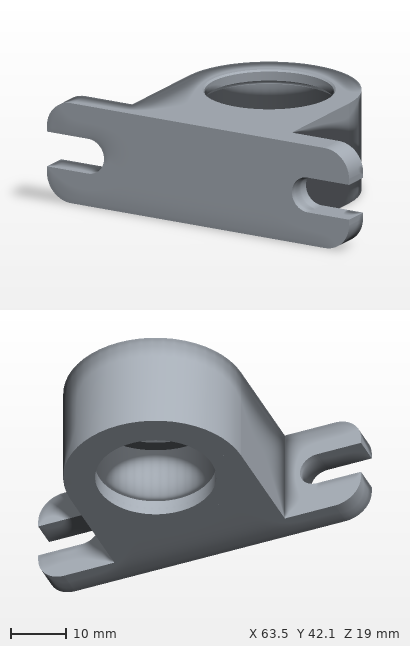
import cadquery as cq

foot_length = 63.5
foot_thickness = 5.0
height = 19.0
foot_corner_radius = 5.1
slot_width = 6.6
slot_depth = 12.0

depth = 42.15
lug_radius = 16.75
lug_center_y = depth - lug_radius

mouth_radius = 11.75
mouth_length = 2.05
mouth_chamfer = 0.3
seat_radius = 14.0

liner_wall_radius = 12.8
liner_floor_radius = 11.0
liner_floor_thickness = 3.0
liner_height = 16.0


def make_foot():
    """Plate with rounded corners and a round-ended slot open at each end."""
    plate = (
        cq.Workplane("XY")
        .box(foot_length, foot_thickness, height, centered=(True, False, False))
        .edges("|Y")
        .fillet(foot_corner_radius)
    )
    for side in (-1, 1):
        slot = (
            cq.Workplane("XZ", origin=(side * foot_length / 2, 0, height / 2))
            .slot2D(2 * slot_depth, slot_width)
            .extrude(-foot_thickness)
        )
        plate = plate.cut(slot)
    return plate


def make_lug():
    """Upright block with a half-round back."""
    return (
        cq.Workplane("XY")
        .moveTo(-lug_radius, 0)
        .lineTo(lug_radius, 0)
        .lineTo(lug_radius, lug_center_y)
        .threePointArc((0, depth), (-lug_radius, lug_center_y))
        .close()
        .extrude(height)
    )


def make_bore():
    """Space removed from the lug: wide seat below, narrower chamfered mouth on top."""
    return (
        cq.Workplane("XZ", origin=(0, lug_center_y, 0))
        .moveTo(0, 0)
        .lineTo(seat_radius, 0)
        .lineTo(seat_radius, height - mouth_length)
        .lineTo(mouth_radius, height - mouth_length)
        .lineTo(mouth_radius, height - mouth_chamfer)
        .lineTo(mouth_radius + mouth_chamfer, height)
        .lineTo(0, height)
        .close()
        .revolve(360, (0, 0, 0), (0, 1, 0))
    )


def make_housing():
    return make_foot().union(make_lug()).cut(make_bore())


def make_liner():
    """Sleeve with an inward flange at its lower end."""
    body = (
        cq.Workplane("XY", origin=(0, lug_center_y, 0))
        .circle(seat_radius)
        .circle(liner_floor_radius)
        .extrude(liner_height)
    )
    pocket = (
        cq.Workplane("XY", origin=(0, lug_center_y, liner_floor_thickness))
        .circle(liner_wall_radius)
        .extrude(liner_height - liner_floor_thickness)
    )
    return body.cut(pocket)


housing = make_housing()
liner = make_liner()
result = cq.Compound.makeCompound([housing.val(), liner.val()])